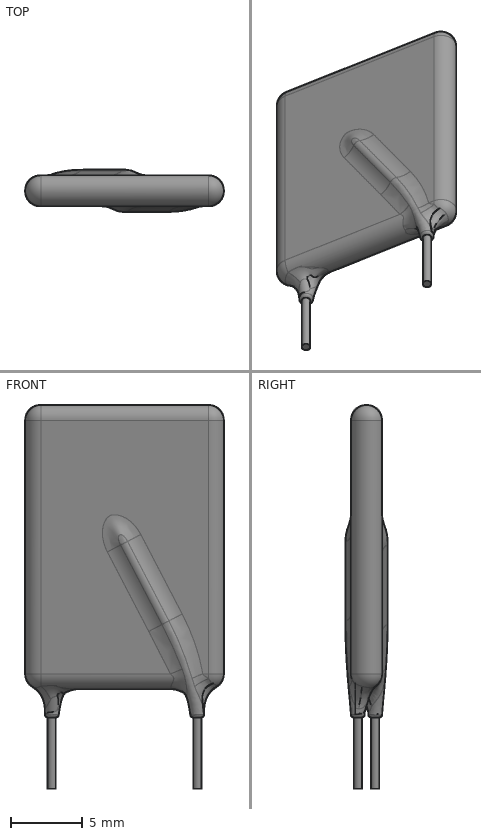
import cadquery as cq
import math

BODY_WIDTH = 14.0
BODY_THICKNESS = 2.2
BODY_HEIGHT = 20.0
EDGE_RADIUS = BODY_THICKNESS / 2

LEAD_RADIUS = 0.3
LEAD_X = 5.12
LEAD_Y = 0.6
LEAD_BOTTOM = -7.0

COAT_RADIUS = 0.5
COLLAR_BOTTOM = -2.0
COLLAR_ROUND = 0.25
COLLAR_TOP = COLLAR_BOTTOM + COLLAR_ROUND
RIDGE_DEPTH = 1.0
RIDGE_TILT = math.radians(27.5)
RIDGE_BEND_X = 2.86
RIDGE_BEND_Z = 4.7
COLLAR_PULL = 0.8
RIDGE_PULL = 3.6
RIDGE_STRAIGHT = 6.3
TIP_LENGTH = 1.9
TIP_DIP = math.radians(30)
BLEND_RADIUS = 1.9

ROOT_START_Y = 0.68
ROOT_TOP = 0.6
ROOT_OVERRUN = 0.4
ROOT_BLOCK_WIDTH = 6.0
ROOT_BLOCK_DEPTH = 1.6

ON_SURFACE_TOLERANCE = 1e-3


def make_body():
    """Plate with a full-round rim and spherical corners."""
    core_width = BODY_WIDTH - BODY_THICKNESS
    core_height = BODY_HEIGHT - BODY_THICKNESS
    body = cq.Workplane("XY").box(core_width, BODY_THICKNESS, core_height)
    for side in (-1, 1):
        rim_x = side * core_width / 2
        rim_z = side * core_height / 2
        upright = cq.Workplane("XY").circle(EDGE_RADIUS).extrude(core_height / 2, both=True)
        crossbar = cq.Workplane("YZ").circle(EDGE_RADIUS).extrude(core_width / 2, both=True)
        body = body.union(upright.translate((rim_x, 0, 0)))
        body = body.union(crossbar.translate((0, 0, rim_z)))
        for corner_z in (-core_height / 2, core_height / 2):
            corner = cq.Workplane("XY").sphere(EDGE_RADIUS)
            body = body.union(corner.translate((rim_x, 0, corner_z)))
    return body.translate((0, 0, BODY_HEIGHT / 2)).clean()


def make_coating():
    """Round coating swept from the collar, up the front face, into the face at its tip."""
    up = cq.Vector(0, 0, 1)
    inward = cq.Vector(0, 1, 0)
    along = cq.Vector(-math.sin(RIDGE_TILT), 0, math.cos(RIDGE_TILT))
    tip_direction = along * math.cos(TIP_DIP) + inward * math.sin(TIP_DIP)
    tip_chord = along * math.cos(TIP_DIP / 2) + inward * math.sin(TIP_DIP / 2)

    collar_end = cq.Vector(LEAD_X, -LEAD_Y, COLLAR_BOTTOM)
    bend_end = cq.Vector(RIDGE_BEND_X, -RIDGE_DEPTH, RIDGE_BEND_Z)
    straight_end = bend_end + along * RIDGE_STRAIGHT
    tip_end = straight_end + tip_chord * TIP_LENGTH

    collar_control = collar_end + up * COLLAR_PULL
    bend_control = bend_end - along * RIDGE_PULL
    bend = cq.Edge.makeBezier([collar_end, collar_control, bend_control, bend_end])
    straight = cq.Edge.makeLine(bend_end, straight_end)
    tip = cq.Edge.makeSpline([straight_end, tip_end], [along, tip_direction])
    path = cq.Workplane(cq.Wire.assembleEdges([bend, straight, tip]))
    collar_plane = cq.Plane(collar_end.toTuple(), (1, 0, 0), up.toTuple())
    coating = cq.Workplane(collar_plane).circle(COAT_RADIUS).sweep(path)
    return coating.faces("<Z").edges().fillet(COLLAR_ROUND)


def lies_on(edge, shell):
    """True when the middle of the edge touches the shell."""
    middle = cq.Vertex.makeVertex(*edge.positionAt(0.5).toTuple())
    return middle.distance(shell) < ON_SURFACE_TOLERANCE


def blend_coating(part, coating):
    """Join the coating to the part with a fillet along the line where they meet."""
    part_shell = cq.Shell.makeShell(part.faces().vals())
    coating_shell = cq.Shell.makeShell(coating.faces().vals())
    joined = part.union(coating)
    seam = []
    for edge in joined.edges().vals():
        if lies_on(edge, part_shell) and lies_on(edge, coating_shell):
            seam.append(edge)
    return joined.newObject(seam).fillet(BLEND_RADIUS)


def make_root():
    """Round stub slanting from the collar to the mid-plane of the body, running past both ends."""
    collar_point = cq.Vector(LEAD_X, -ROOT_START_Y, COLLAR_TOP)
    body_point = cq.Vector(LEAD_X, 0, ROOT_TOP)
    slant = body_point - collar_point
    start = collar_point - slant * ROOT_OVERRUN
    plane = cq.Plane(start.toTuple(), (1, 0, 0), slant.toTuple())
    return cq.Workplane(plane).circle(COAT_RADIUS).extrude(slant.Length * (1 + 2 * ROOT_OVERRUN))


def crop_root(rooted_body):
    """Keep only the block around the root, from the collar up into the rounded bottom rim."""
    block_height = EDGE_RADIUS - COLLAR_TOP
    block = cq.Workplane("XY", origin=(LEAD_X, 0, COLLAR_TOP)).rect(ROOT_BLOCK_WIDTH, ROOT_BLOCK_DEPTH)
    return rooted_body.intersect(block.extrude(block_height))


def make_lead():
    """Straight round lead, starting inside the collar."""
    lead = cq.Workplane("XY", origin=(LEAD_X, -LEAD_Y, LEAD_BOTTOM))
    return lead.circle(LEAD_RADIUS).extrude(COLLAR_TOP - LEAD_BOTTOM)


def half_turn(shape):
    """Turn a shape to the opposite lead, half a turn about Z."""
    return shape.rotate((0, 0, 0), (0, 0, 1), 180)


body = make_body()
ridged_body = blend_coating(body, make_coating())
root = crop_root(blend_coating(body, make_root()))
lead_side = ridged_body.union(root).union(make_lead())

result = lead_side.union(half_turn(lead_side))